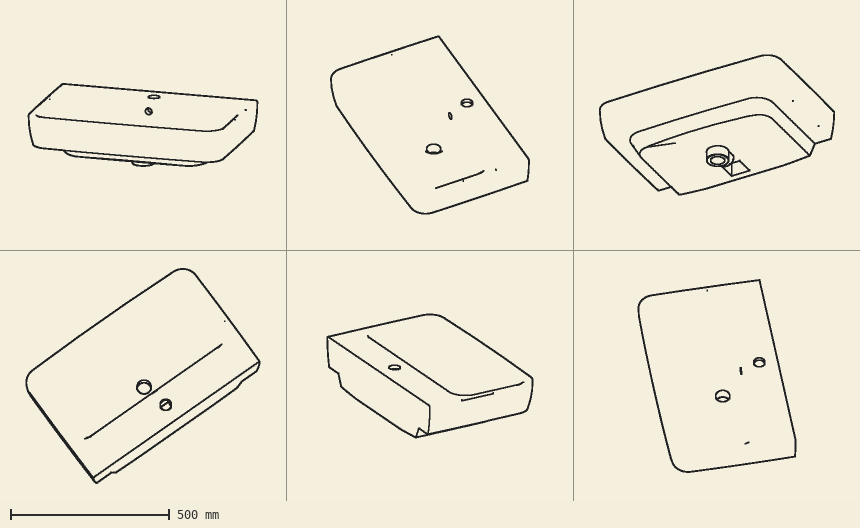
import cadquery as cq


tolerance = 0.005
margin = 0.5

width = 649.0
depth = 400.0
side_bow = 2.0
front_bow = 6.0
apron_corner = 52.0
apron_height = 102.0
apron_taper = 12.0
rim_round = 6.5
rim_band = 7.0
lower_edge_round = 3.0
apron_levels = (0.0, 0.35, 0.7, 1.0)

bowl_depth = 133.0
bowl_top_half = 311.5
bowl_floor_half = 71.5
bowl_top_front = 384.5
bowl_floor_front = 217.5
bowl_top_back = 115.5
back_wall_lean = 6.5
back_wall_foot = 10.5
bowl_floor_back = bowl_top_back + back_wall_lean + back_wall_foot
blend_power = 8
front_flare = 0.15
bowl_top_corner = 55.0
bowl_floor_corner = 32.5
bowl_floor_back_corner = 10.0
bowl_bow = 5.0
bowl_edge_round = 11.0
bowl_spreads = (1.0, 0.88, 0.75, 0.55, 0.35, 0.18, 0.0)

shell_top_half = 253.0
shell_top_front = 334.5
shell_low_half = 235.0
shell_low_front = 305.0
shell_low = 141.0
shell_corner = 58.5
shell_bottom = 152.0
shell_overlap = 6.5
back_ledge_bottom = 148.0
back_ledge = 104.0
flat_start = 136.5
flat_end = 266.0

total_height = 184.5
drain_y = -175.0
pipe_radius = 35.0
drain_diameter = 45.0
drain_radius = drain_diameter / 2
drain_ring_radius = 41.0
drain_cone_radius = 36.5
drain_lip_depth = 2.5
drain_lip_mid_radius = 38.0
drain_lip_mid_depth = 0.8
drain_depth = 15.5
pipe_end_chamfer = 1.0
elbow_y = -136.5
elbow_depth = 147.0
elbow_radius = 32.5

tap_y = -58.5
tap_diameter = 36.0
tap_radius = tap_diameter / 2
deck_thickness = 12.5
chamber_side = 65.0
overflow_depth = 31.0
overflow_radius = 10.5


def outline(half, back, front, bow_side, bow_front, front_corner, level, back_corner=0):
    """Closed rounded outline at height `level`, with bowed sides and front."""
    middle = (back + front) / 2
    back_half = half - bow_side
    sharp_front = front - bow_front
    left_back = cq.Vector(-back_half, -back, level)
    right_back = cq.Vector(back_half, -back, level)
    right_front = cq.Vector(back_half, -sharp_front, level)
    left_front = cq.Vector(-back_half, -sharp_front, level)
    edges = [cq.Edge.makeLine(left_back, right_back)]
    if bow_side:
        edges.append(cq.Edge.makeThreePointArc(right_back, cq.Vector(half, -middle, level), right_front))
    else:
        edges.append(cq.Edge.makeLine(right_back, right_front))
    edges.append(cq.Edge.makeThreePointArc(right_front, cq.Vector(0, -front, level), left_front))
    if bow_side:
        edges.append(cq.Edge.makeThreePointArc(left_front, cq.Vector(-half, -middle, level), left_back))
    else:
        edges.append(cq.Edge.makeLine(left_front, left_back))
    wire = cq.Wire.assembleEdges(edges)
    wire = wire.fillet2D(front_corner, [v for v in wire.Vertices() if v.Y < -middle])
    if back_corner:
        back_corners = [v for v in wire.Vertices() if abs(v.Y + back) < tolerance]
        wire = wire.fillet2D(back_corner, back_corners)
    return wire


def make_apron():
    """Outer band whose sides and front curve inward towards the lower edge."""
    sections = []
    for level in apron_levels:
        inset = apron_taper * level**2
        sections.append(
            outline(width / 2 - inset, 0, depth - inset, side_bow, front_bow,
                    apron_corner, -rim_band - (apron_height - rim_band) * level)
        )
    sides = cq.Workplane(cq.Solid.makeLoft(sections))
    sides = sides.faces("<Z").edges("not >Y").fillet(lower_edge_round)
    band = cq.Workplane(cq.Solid.extrudeLinear(sections[0], [], cq.Vector(0, 0, rim_band)))
    band = band.faces(">Z").edges("not >Y").fillet(rim_round)
    return sides.union(band)


def make_shell():
    """Tapered shell under the apron, trimmed to a crowned bottom."""
    slope_drop = shell_low - apron_height
    slope_half = (shell_top_half - shell_low_half) / slope_drop
    slope_front = (shell_top_front - shell_low_front) / slope_drop
    top = apron_height - shell_overlap
    sections = []
    for below_deck in (top, shell_bottom):
        drop = below_deck - apron_height
        sections.append(
            outline(shell_top_half - slope_half * drop, 0, shell_top_front - slope_front * drop,
                    0, front_bow, shell_corner, -below_deck)
        )
    taper = cq.Workplane(cq.Solid.makeLoft(sections, True))
    crown = (
        cq.Workplane("XZ")
        .moveTo(-shell_top_half, 0)
        .lineTo(-shell_top_half, -shell_low)
        .lineTo(-shell_low_half, -shell_low)
        .threePointArc((0, -shell_bottom), (shell_low_half, -shell_low))
        .lineTo(shell_top_half, -shell_low)
        .lineTo(shell_top_half, 0)
        .close()
        .extrude(depth)
    )
    side = (
        cq.Workplane("YZ")
        .moveTo(0, 0)
        .lineTo(0, -back_ledge_bottom)
        .lineTo(-back_ledge, -back_ledge_bottom)
        .lineTo(-flat_start, -shell_bottom)
        .lineTo(-flat_end, -shell_bottom)
        .tangentArcPoint((-shell_low_front, -shell_low), relative=False)
        .lineTo(-depth, -apron_height)
        .lineTo(-depth, 0)
        .close()
        .extrude(width / 2, both=True)
    )
    return taper.intersect(crown).intersect(side)


def make_bowl():
    """Bowl cavity: flat near the drain, rising as a parabola to the sides."""
    sections = []
    for spread in bowl_spreads:
        lean = back_wall_lean * (1 - spread**2)
        foot = back_wall_foot * (1 - spread) ** blend_power
        front_spread = spread * (1 - front_flare + front_flare * spread**blend_power)
        sections.append(
            outline(
                bowl_floor_half + (bowl_top_half - bowl_floor_half) * spread,
                bowl_top_back + lean + foot,
                bowl_floor_front + (bowl_top_front - bowl_floor_front) * front_spread,
                0,
                bowl_bow,
                bowl_floor_corner + (bowl_top_corner - bowl_floor_corner) * spread,
                -bowl_depth * (1 - spread**2),
                bowl_floor_back_corner + (bowl_top_corner - bowl_floor_back_corner) * spread**2,
            )
        )
    return cq.Workplane(cq.Solid.makeLoft(sections))


def cylinder(y, radius, top, bottom):
    """Upright cylinder on the centre plane between two heights."""
    return cq.Workplane("XY", origin=(0, y, bottom)).circle(radius).extrude(top - bottom)


def make_pipe():
    """Drain pipe with the rounded elbow bulge behind it."""
    pipe = cylinder(drain_y, pipe_radius, -bowl_depth, -total_height)
    pipe = pipe.faces("<Z").chamfer(pipe_end_chamfer)
    elbow_centre = (0, elbow_y, -elbow_depth)
    elbow = cq.Workplane("XY", origin=elbow_centre).sphere(elbow_radius)
    run = cq.Workplane("XZ", origin=elbow_centre).circle(elbow_radius).extrude(elbow_y - drain_y)
    return pipe.union(elbow).union(run)


def make_drain_hole():
    """Through hole with a conical seat sunk into the bowl floor."""
    seat = (
        cq.Workplane("XZ", origin=(0, drain_y, -bowl_depth))
        .lineTo(drain_ring_radius, 0)
        .threePointArc((drain_lip_mid_radius, -drain_lip_mid_depth), (drain_cone_radius, -drain_lip_depth))
        .lineTo(drain_radius, -drain_depth)
        .lineTo(0, -drain_depth)
        .close()
        .revolve()
    )
    return cylinder(drain_y, drain_radius, -bowl_depth, -total_height).union(seat)


def make_tap_hole():
    """Hole through the deck into an open chamber below, with the overflow leading into it."""
    hole = cylinder(tap_y, tap_radius, 0, -total_height)
    chamber = (
        cq.Workplane("XY", origin=(0, tap_y, -total_height))
        .rect(chamber_side, chamber_side)
        .extrude(total_height - deck_thickness)
    )
    overflow = (
        cq.Workplane("XZ", origin=(0, tap_y, -overflow_depth))
        .circle(overflow_radius)
        .extrude(bowl_floor_back + tap_y)
    )
    return hole.union(chamber).union(overflow)


def round_bowl_edge(body):
    """Round the edge where the bowl opens through the deck."""
    opening = cq.selectors.BoxSelector(
        (-bowl_top_half - margin, -bowl_top_front - margin, -margin),
        (bowl_top_half + margin, -bowl_top_back + margin, margin),
        boundingbox=True,
    )
    return body.edges(opening).fillet(bowl_edge_round)


bowl = make_bowl()
basin = round_bowl_edge(make_apron().cut(bowl))
underside = make_shell().union(make_pipe()).cut(bowl)
result = basin.union(underside).cut(make_drain_hole()).cut(make_tap_hole())